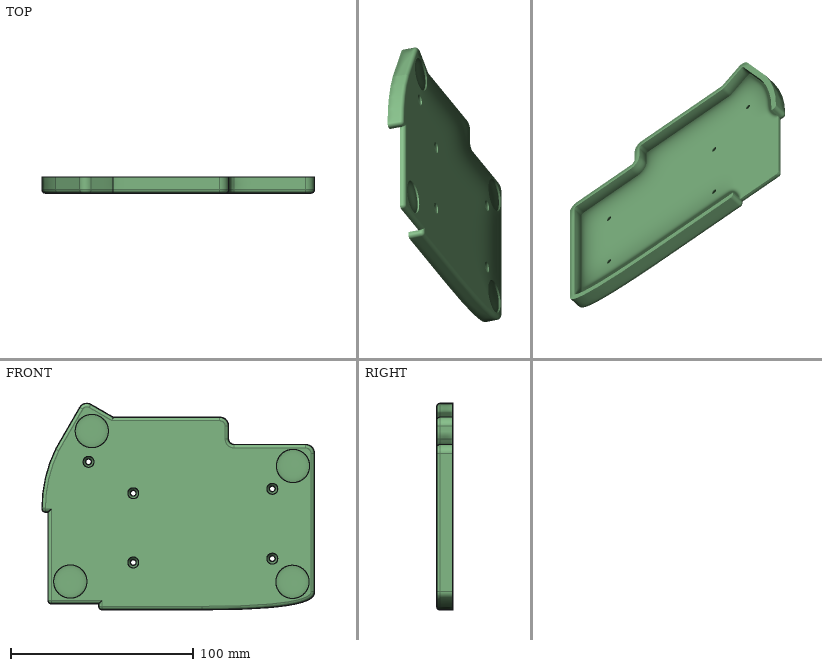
import cadquery as cq
import math

length = 149.7
height = 113.5
depth = 9.0

floor_thickness = 3.0
wall = 3.3
rim_radius = 2.0

shoulder_z = 105.9
shoulder_start_x = 39.1
shoulder_end_x = 102.5
ledge_z = 90.9
apex_slope = math.radians(30)
apex_radius = 4.5
corner_radius = 5.0
inner_corner_radius = 3.0
side_arc_top_z = 88.3
side_arc_bottom_z = 56.0
belly_start_x = 87.9
belly_end_z = 10.2
belly_start_pull = 59.9
belly_end_pull = 3.7

opening_top_z = 53.6
opening_end_x = 31.1
opening_edge_radius = 2.0

foot_diameter = 18.3
foot_depth = 1.0
foot_centres = [(27.4, 98.2), (137.9, 79.0), (15.5, 15.5), (137.6, 15.4)]

hole_diameter = 3.0
head_diameter = 6.0
head_depth = 1.0
hole_centres = [(25.6, 81.3), (50.2, 64.1), (50.2, 26.0), (126.5, 66.5), (126.5, 28.1)]

apex_rounding_loss = apex_radius * (math.cos(apex_slope) + math.sin(apex_slope) - 1)
apex_z = height + apex_rounding_loss
apex_x = shoulder_start_x - (apex_z - shoulder_z) / math.tan(apex_slope)
side_arc_top_x = apex_x - (apex_z - side_arc_top_z) * math.tan(apex_slope)

side_arc_rise = side_arc_top_z - side_arc_bottom_z
side_arc_radius = (side_arc_top_x**2 + side_arc_rise**2) / (2 * side_arc_top_x)


def round_corner(body, x, z, radius):
    """Round the edge along Y that passes through the point (x, z)."""
    edge = cq.selectors.NearestToPointSelector((x, depth / 2, z))
    return body.edges("|Y").edges(edge).fillet(radius)


def make_block():
    """Full-depth block with the tray outline, before the lower corner is opened."""
    belly_controls = [
        (belly_start_x, 0),
        (belly_start_x + belly_start_pull, 0),
        (length, belly_end_z - belly_end_pull),
        (length, belly_end_z),
    ]
    block = (
        cq.Workplane("XZ")
        .lineTo(belly_start_x, 0)
        .bezier(belly_controls)
        .lineTo(length, ledge_z)
        .lineTo(shoulder_end_x, ledge_z)
        .lineTo(shoulder_end_x, shoulder_z)
        .lineTo(shoulder_start_x, shoulder_z)
        .lineTo(apex_x, apex_z)
        .lineTo(side_arc_top_x, side_arc_top_z)
        .radiusArc((0, side_arc_bottom_z), -side_arc_radius)
        .close()
        .extrude(-depth)
    )
    block = round_corner(block, length, ledge_z, corner_radius)
    block = round_corner(block, shoulder_end_x, ledge_z, inner_corner_radius)
    block = round_corner(block, shoulder_end_x, shoulder_z, corner_radius)
    return round_corner(block, apex_x, apex_z, apex_radius)


def make_cavity(block):
    """Hollow of the tray: the block outline moved inward by the wall, above the floor."""
    wall_ring = block.faces("|Y").shell(-wall)
    return block.cut(wall_ring).translate((0, floor_thickness, 0))


def open_lower_corner(block):
    """Cut the walls away around the lower -X corner and round the edges left there."""
    side_strip = cq.Workplane().box(wall, depth, opening_top_z, centered=False)
    bottom_strip = cq.Workplane().box(opening_end_x, depth, wall, centered=False)
    opened = block.cut(side_strip).cut(bottom_strip)
    exposed_corners = [(0, opening_top_z), (wall, wall), (opening_end_x, 0)]
    for x, z in exposed_corners:
        opened = round_corner(opened, x, z, opening_edge_radius)
    return opened


def cut_feet(body):
    """Cut the shallow round recesses for the feet into the outer floor face."""
    recesses = (
        cq.Workplane("XZ")
        .pushPoints(foot_centres)
        .circle(foot_diameter / 2)
        .extrude(-foot_depth)
    )
    return body.cut(recesses)


def cut_screw_holes(body):
    """Cut holes that run from the outer face as a cylinder, a 45 degree cone and a narrow bore."""
    head_radius = head_diameter / 2
    bore_radius = hole_diameter / 2
    cone_end = head_depth + head_radius - bore_radius
    cutter = (
        cq.Workplane("XY")
        .lineTo(head_radius, 0)
        .lineTo(head_radius, head_depth)
        .lineTo(bore_radius, cone_end)
        .lineTo(bore_radius, floor_thickness)
        .lineTo(0, floor_thickness)
        .close()
        .revolve(360, (0, 0, 0), (0, 1, 0))
    )
    for x, z in hole_centres:
        body = body.cut(cutter.translate((x, 0, z)))
    return body


full_block = make_block()
tray = open_lower_corner(full_block)
tray = tray.faces("<Y").edges().fillet(rim_radius)
tray = tray.cut(make_cavity(full_block))
tray = cut_screw_holes(tray)
result = cut_feet(tray)